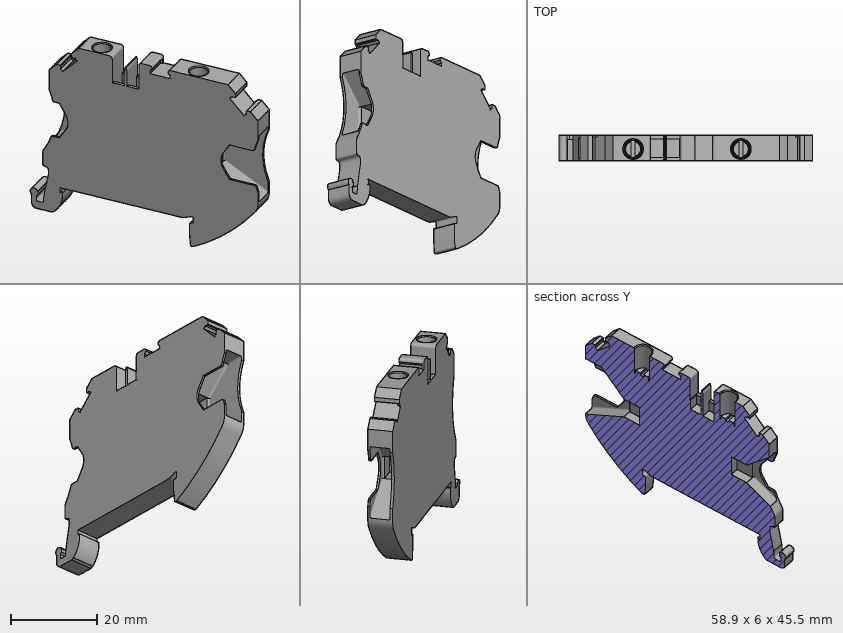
import cadquery as cq
import math

LENGTH = 58.85
THICKNESS = 6.0
HEIGHT = 45.5

BODY_LEFT = 4.88
MIRROR_X = (BODY_LEFT + LENGTH) / 2
SHOULDER_Z = 37.78
FLANK_END_Z = 32.55
WAIST_DEPTH = 1.42
WAIST_Z = 25.7
WAIST_RADIUS = 17.5

GROOVE_WIDTH = 4.08
GROOVE_FLOOR_WIDTH = 5.25
UNDERCUT_FACE = 0.75
UNDERCUT_TOP = 1.3
GROOVE_LIP_Z = 1.48
GROOVE_FLARE = 1.0
CORNER_GROOVE_FLOOR = (10.28, 40.12)
TOP_GROOVE_X = 33.57
TOP_GROOVE_FLOOR_Z = 43.35
GROOVE_WEB = 0.5
TOP_EDGE_RADIUS = 0.7

SLOT_LEFT = 21.22
SLOT_RIGHT = 28.08
SLOT_FLOOR_Z = 38.48
SLOT_LEFT_RADIUS = 0.85
SLOT_POCKET_FRONT = 0.77
SLOT_POCKET_REAR = 5.1
SLOT_POCKET_END_GAP = 0.15
SLOT_POCKET_DEPTH = 3.0
BLADE_THICKNESS = 0.7
BLADE_REAR = 5.65
BLADE_SHOULDER_Z = 42.5
BLADE_TIP_Z = 43.4
BLADE_TIP_WIDTH = 0.2

SCREW_XS = (17.22, 42.2)
SCREW_Y = 2.75
SCREW_MOUTH_DIAMETER = 4.8
SCREW_HOLE_DIAMETER = 4.3
SCREW_HEAD_DIAMETER = 4.0
SCREW_FACE_DIAMETER = 3.5
SCREW_HOLE_DEPTH = 8.0
SCREW_HEAD_HEIGHT = 1.0
SCREW_SLOT_WIDTH = 0.9
SCREW_SLOT_DEPTH = 0.6

FUNNEL_Y = (0.5, 5.35)
FUNNEL_END = 11.5
ENTRY_FLOOR_MOUTH = (4.4, 18.0)
ENTRY_CEILING_MOUTH = (4.88, 33.5)
DUCT_Y = (0.9, 4.75)
DUCT_Z = (21.6, 27.1)
DUCT_LENGTH = 4.5
ENTRY_EDGE_RADIUS = 0.45
WINDOW_Z = (20.3, 29.5)
WINDOW_END_ARC_HALF = 1.9
WINDOW_REAR = 3.0
WINDOW_SHOULDER = 2.25
WINDOW_ARC_RISE = 0.5
WINDOW_LIP = 0.65
WINDOW_END = 9.75
RIGHT_ENTRY_SHIFT = 4.73

RAIL_FACE_Z = 7.03
RAIL_RAMP_BEND = ((38.8, RAIL_FACE_Z), (39.4, 7.07), (39.9, 7.2))
JAW_X = 41.15
JAW_FACE_BOTTOM_Z = 3.1
JAW_LIP_RADIUS = 0.2
JAW_LIP_Z = 6.0
JAW_NOTCH_X = 42.1
JAW_NOTCH_Z = (6.25, 8.05)
JAW_NOTCH_RADII = (0.25, 0.3)
JAW_FOOT = (41.42, 0)
JAW_FOOT_RADIUS = 0.35
JAW_TOE = (42.2, 0)
JAW_BACK_MID = (50.4, 5.4)
HEEL = (57.9, 13.0)
HEEL_MID = (58.6, 14.2)
HOOK_STEP_X = 7.75
HOOK_STEP_Z = 5.78
HOOK_INNER_X = 8.33
HOOK_INNER_BOTTOM_Z = 4.5
HOOK_HEEL_MID = (7.65, 2.2)
HOOK_HEEL = (6.2, 0.3)
HOOK_FOOT = (5.6, 0)
HOOK_CORNER_RADIUS = 1.4
HOOK_LEFT = 0.33
HOOK_RADIUS = 1.0
HOOK_BEAD_Z = 4.25
HOOK_BEAD_EXIT_RISE = 0.35
LEG_LEFT = 3.24
LEG_STEP_X = 4.7
LEG_STEP_Z = 11.65
LEG_STEP_LEFT_Z = 11.85
LEG_STEP_RADIUS = 0.75
LEG_STEP_LEFT_RADIUS = 0.5
LEG_ARC_TOP_Z = 9.8
LEG_ARC_MID = (4.1, 6.9)
LEG_KNEE_Z = 15.7
LEG_KNEE_RADIUS = 1.65
KNEE_ARC_END_Z = 16.2
HEEL_ARC_END_Z = 19.2
HEEL_FLAT_Z = (15.7, 18.7)

THROAT_WEB = 1.05
THROAT_WEB_TOP_Z = 4.17
THROAT_WEB_X = (2.5, 3.6)
THROAT_FLOOR_Z = 1.98
THROAT_LEFT = 1.62
THROAT_RIGHT = 3.4
THROAT_LEFT_RADIUS = 0.4
THROAT_RIGHT_RADIUS = 0.5
THROAT_MOUTH_Z = 4.9
THROAT_MOUTH_X = (1.98, 3.62)
THROAT_UNDERCUT_Z = (3.2, 3.65)


def mirror_x(x):
    return 2 * MIRROR_X - x


def plate(profile, front=0.0, rear=THICKNESS):
    """Extrude a closed XZ profile from y = front to y = rear."""
    return profile.extrude(front - rear).translate((0, front, 0))


def box(x0, x1, y0, y1, z0, z1):
    return cq.Workplane("XY").box(x1 - x0, y1 - y0, z1 - z0, centered=False).translate((x0, y0, z0))


def round_corners(solid, corners):
    """Fillet the edges along Y that stand at the given (x, z, radius) corners."""
    for x, z, radius in corners:
        selector = cq.selectors.NearestToPointSelector((x, THICKNESS / 2, z))
        solid = solid.edges("|Y").edges(selector).fillet(radius)
    return solid


def waist_x(z):
    """X of the concave left flank at height z."""
    drop = z - WAIST_Z
    return BODY_LEFT + WAIST_DEPTH - WAIST_RADIUS + math.sqrt(WAIST_RADIUS**2 - drop**2)


def make_body():
    rise = HEIGHT - SHOULDER_Z
    notch_bottom, notch_top = JAW_NOTCH_Z
    notch_bottom_radius, notch_top_radius = JAW_NOTCH_RADII
    ramp_start, ramp_mid, ramp_end = RAIL_RAMP_BEND
    web_left, web_right = THROAT_WEB_X
    heel_flat_bottom, heel_flat_top = HEEL_FLAT_Z
    hook_drop = math.sqrt(HOOK_RADIUS**2 - (HOOK_RADIUS - HOOK_LEFT) ** 2)
    hook_reach = math.sqrt(HOOK_RADIUS**2 - HOOK_BEAD_EXIT_RISE**2)
    profile = (
        cq.Workplane("XZ")
        .moveTo(BODY_LEFT, SHOULDER_Z)
        .lineTo(BODY_LEFT + rise, HEIGHT)
        .lineTo(mirror_x(BODY_LEFT + rise), HEIGHT)
        .lineTo(LENGTH, SHOULDER_Z)
        .lineTo(LENGTH, FLANK_END_Z)
        .threePointArc(
            (mirror_x(waist_x(WAIST_Z)), WAIST_Z),
            (mirror_x(waist_x(HEEL_ARC_END_Z)), HEEL_ARC_END_Z),
        )
        .lineTo(LENGTH, heel_flat_top)
        .lineTo(LENGTH, heel_flat_bottom)
        .threePointArc(HEEL_MID, HEEL)
        .threePointArc(JAW_BACK_MID, JAW_TOE)
        .lineTo(*JAW_FOOT)
        .lineTo(JAW_X, JAW_FACE_BOTTOM_Z)
        .lineTo(JAW_X, JAW_LIP_Z)
        .lineTo(JAW_NOTCH_X, notch_bottom)
        .lineTo(JAW_NOTCH_X, notch_top)
        .lineTo(*ramp_end)
        .threePointArc(ramp_mid, ramp_start)
        .lineTo(HOOK_STEP_X, RAIL_FACE_Z)
        .lineTo(HOOK_STEP_X, HOOK_STEP_Z)
        .lineTo(HOOK_INNER_X, HOOK_STEP_Z)
        .lineTo(HOOK_INNER_X, HOOK_INNER_BOTTOM_Z)
        .threePointArc(HOOK_HEEL_MID, HOOK_HEEL)
        .lineTo(*HOOK_FOOT)
        .lineTo(HOOK_LEFT, 0)
        .lineTo(HOOK_LEFT, HOOK_BEAD_Z - hook_drop)
        .threePointArc(
            (HOOK_RADIUS, HOOK_BEAD_Z + HOOK_RADIUS),
            (HOOK_RADIUS + hook_reach, HOOK_BEAD_Z + HOOK_BEAD_EXIT_RISE),
        )
        .lineTo(web_left, THROAT_WEB_TOP_Z)
        .lineTo(web_right, THROAT_WEB_TOP_Z)
        .threePointArc(LEG_ARC_MID, (LEG_STEP_X, LEG_ARC_TOP_Z))
        .lineTo(LEG_STEP_X, LEG_STEP_Z)
        .lineTo(LEG_LEFT, LEG_STEP_LEFT_Z)
        .lineTo(LEG_LEFT, LEG_KNEE_Z)
        .lineTo(waist_x(KNEE_ARC_END_Z), KNEE_ARC_END_Z)
        .threePointArc((waist_x(WAIST_Z), WAIST_Z), (BODY_LEFT, FLANK_END_Z))
        .close()
    )
    return round_corners(
        plate(profile),
        [
            (HOOK_LEFT, 0, HOOK_CORNER_RADIUS),
            (LEG_LEFT, LEG_KNEE_Z, LEG_KNEE_RADIUS),
            (LEG_LEFT, LEG_STEP_LEFT_Z, LEG_STEP_LEFT_RADIUS),
            (LEG_STEP_X, LEG_STEP_Z, LEG_STEP_RADIUS),
            (JAW_X, JAW_LIP_Z, JAW_LIP_RADIUS),
            (JAW_NOTCH_X, notch_bottom, notch_bottom_radius),
            (JAW_NOTCH_X, notch_top, notch_top_radius),
            (*JAW_FOOT, JAW_FOOT_RADIUS),
        ],
    )


def groove_cutter(flare):
    """Label groove cutter: floor centre at the origin, opening along +Z, mouth flared at 45 degrees."""
    half = GROOVE_WIDTH / 2
    floor_half = GROOVE_FLOOR_WIDTH / 2
    notch = (
        cq.Workplane("XZ")
        .moveTo(-half, 0)
        .lineTo(-half, GROOVE_LIP_Z)
        .lineTo(-half - flare, GROOVE_LIP_Z + GROOVE_FLARE)
        .lineTo(half + flare, GROOVE_LIP_Z + GROOVE_FLARE)
        .lineTo(half, GROOVE_LIP_Z)
        .lineTo(half, 0)
        .close()
    )
    undercut = (
        cq.Workplane("XZ")
        .moveTo(-floor_half, 0)
        .lineTo(-floor_half, UNDERCUT_FACE)
        .lineTo(-half, UNDERCUT_TOP)
        .lineTo(half, UNDERCUT_TOP)
        .lineTo(floor_half, UNDERCUT_FACE)
        .lineTo(floor_half, 0)
        .close()
    )
    return plate(notch).union(plate(undercut, rear=THICKNESS - GROOVE_WEB))


def cut_label_grooves(solid):
    top_groove = groove_cutter(0).translate((TOP_GROOVE_X, 0, TOP_GROOVE_FLOOR_Z))
    floor_x, floor_z = CORNER_GROOVE_FLOOR
    corner_groove = groove_cutter(GROOVE_FLARE).rotate((0, 0, 0), (0, 1, 0), -45)
    left_groove = corner_groove.translate((floor_x, 0, floor_z))
    right_groove = left_groove.mirror("YZ", (MIRROR_X, 0, 0))
    solid = solid.cut(top_groove).cut(left_groove).cut(right_groove)
    mouth_corners = []
    for side in (-1, 1):
        mouth_corners.append((TOP_GROOVE_X + side * GROOVE_WIDTH / 2, HEIGHT, TOP_EDGE_RADIUS))
    return round_corners(solid, mouth_corners)


def make_blade():
    centre = (SLOT_LEFT + SLOT_RIGHT) / 2
    half = BLADE_THICKNESS / 2
    tip_half = BLADE_TIP_WIDTH / 2
    profile = (
        cq.Workplane("XZ")
        .moveTo(centre - half, SLOT_FLOOR_Z - SLOT_POCKET_DEPTH)
        .lineTo(centre - half, BLADE_SHOULDER_Z)
        .lineTo(centre - tip_half, BLADE_TIP_Z)
        .lineTo(centre + tip_half, BLADE_TIP_Z)
        .lineTo(centre + half, BLADE_SHOULDER_Z)
        .lineTo(centre + half, SLOT_FLOOR_Z - SLOT_POCKET_DEPTH)
        .close()
    )
    return plate(profile, rear=BLADE_REAR)


def cut_bridge_slot(solid):
    slot = box(SLOT_LEFT, SLOT_RIGHT, 0, THICKNESS, SLOT_FLOOR_Z, HEIGHT)
    pocket = box(
        SLOT_LEFT,
        SLOT_RIGHT - SLOT_POCKET_END_GAP,
        SLOT_POCKET_FRONT,
        SLOT_POCKET_REAR,
        SLOT_FLOOR_Z - SLOT_POCKET_DEPTH,
        SLOT_FLOOR_Z,
    )
    solid = solid.cut(slot)
    solid = round_corners(
        solid,
        [(SLOT_LEFT, HEIGHT, SLOT_LEFT_RADIUS), (SLOT_RIGHT, HEIGHT, TOP_EDGE_RADIUS)],
    )
    return solid.cut(pocket).union(make_blade())


def add_screw(solid, x):
    """Sink a screw hole with a countersunk mouth and leave a slotted screw head at its bottom."""
    head_top = HEIGHT - SCREW_HOLE_DEPTH + SCREW_HEAD_HEIGHT
    top = cq.Workplane("XY").center(x, SCREW_Y)
    mouth_chamfer = (SCREW_MOUTH_DIAMETER - SCREW_HOLE_DIAMETER) / 2
    head_chamfer = (SCREW_HEAD_DIAMETER - SCREW_FACE_DIAMETER) / 2
    hole = top.workplane(offset=HEIGHT).circle(SCREW_HOLE_DIAMETER / 2).extrude(-SCREW_HOLE_DEPTH)
    mouth = (
        top.workplane(offset=HEIGHT)
        .circle(SCREW_MOUTH_DIAMETER / 2)
        .extrude(-mouth_chamfer, taper=45)
    )
    head = (
        top.workplane(offset=head_top - SCREW_HEAD_HEIGHT)
        .circle(SCREW_HEAD_DIAMETER / 2)
        .extrude(SCREW_HEAD_HEIGHT)
        .faces(">Z")
        .chamfer(head_chamfer)
    )
    driver_slot = box(
        x - SCREW_SLOT_WIDTH / 2,
        x + SCREW_SLOT_WIDTH / 2,
        SCREW_Y - SCREW_HEAD_DIAMETER / 2,
        SCREW_Y + SCREW_HEAD_DIAMETER / 2,
        head_top - SCREW_SLOT_DEPTH,
        head_top,
    )
    return solid.cut(hole).cut(mouth).union(head.cut(driver_slot))


def make_funnel(shift):
    """Left wire entry moved inward by shift: a funnel with sloping floor and ceiling, then a narrow duct."""
    floor_slope = (DUCT_Z[0] - ENTRY_FLOOR_MOUTH[1]) / (FUNNEL_END - ENTRY_FLOOR_MOUTH[0])
    end_x = FUNNEL_END + shift
    ceiling_x = ENTRY_CEILING_MOUTH[0] + shift
    ceiling_z = ENTRY_CEILING_MOUTH[1]
    profile = (
        cq.Workplane("XZ")
        .moveTo(0, DUCT_Z[0] - floor_slope * end_x)
        .lineTo(0, ceiling_z)
        .lineTo(ceiling_x, ceiling_z)
        .lineTo(end_x, DUCT_Z[1])
        .lineTo(end_x, DUCT_Z[0])
        .close()
    )
    funnel = plate(profile, *FUNNEL_Y)
    funnel = funnel.faces("<Y or >Y").edges("not <X").fillet(ENTRY_EDGE_RADIUS)
    duct = box(end_x - DUCT_LENGTH, end_x + DUCT_LENGTH, *DUCT_Y, *DUCT_Z)
    return funnel.union(duct)


def make_window(end_x):
    """Opening through the front wall into the left wire entry, with a bulged inner end."""
    bottom, top = WINDOW_Z
    middle = (bottom + top) / 2
    shoulder = end_x - WINDOW_SHOULDER
    top_lip_x = waist_x(top + WINDOW_LIP)
    bottom_lip_x = waist_x(bottom - WINDOW_LIP)
    lip_mid = WINDOW_LIP * (1 - math.cos(math.radians(45)))
    profile = (
        cq.Workplane("XZ")
        .moveTo(top_lip_x, top + WINDOW_LIP)
        .threePointArc((top_lip_x + lip_mid, top + lip_mid), (top_lip_x + WINDOW_LIP, top))
        .lineTo(shoulder, top)
        .lineTo(end_x - WINDOW_ARC_RISE, middle + WINDOW_END_ARC_HALF)
        .threePointArc((end_x, middle), (end_x - WINDOW_ARC_RISE, middle - WINDOW_END_ARC_HALF))
        .lineTo(shoulder, bottom)
        .lineTo(bottom_lip_x + WINDOW_LIP, bottom)
        .threePointArc((bottom_lip_x + lip_mid, bottom - lip_mid), (bottom_lip_x, bottom - WINDOW_LIP))
        .lineTo(0, bottom - WINDOW_LIP)
        .lineTo(0, top + WINDOW_LIP)
        .close()
    )
    return plate(profile, rear=WINDOW_REAR)


def make_wire_entry(shift):
    return make_funnel(shift).union(make_window(WINDOW_END + shift))


def cut_wire_entries(solid):
    left_entry = make_wire_entry(0)
    right_entry = make_wire_entry(RIGHT_ENTRY_SHIFT).mirror("YZ", (MIRROR_X, 0, 0))
    return solid.cut(left_entry).cut(right_entry)


def cut_hook_throat(solid):
    """Hollow the throat of the hook from the front, leaving a web at the rear."""
    mouth_left, mouth_right = THROAT_MOUTH_X
    undercut_bottom, undercut_top = THROAT_UNDERCUT_Z
    profile = (
        cq.Workplane("XZ")
        .moveTo(mouth_left, THROAT_MOUTH_Z)
        .lineTo(mouth_left, undercut_top)
        .lineTo(THROAT_LEFT, undercut_bottom)
        .lineTo(THROAT_LEFT, THROAT_FLOOR_Z)
        .lineTo(THROAT_RIGHT, THROAT_FLOOR_Z)
        .lineTo(mouth_right, THROAT_MOUTH_Z)
        .close()
    )
    throat = round_corners(
        plate(profile, rear=THICKNESS - THROAT_WEB),
        [
            (THROAT_LEFT, THROAT_FLOOR_Z, THROAT_LEFT_RADIUS),
            (THROAT_RIGHT, THROAT_FLOOR_Z, THROAT_RIGHT_RADIUS),
        ],
    )
    return solid.cut(throat)


result = make_body()
result = cut_label_grooves(result)
result = cut_bridge_slot(result)
for screw_x in SCREW_XS:
    result = add_screw(result, screw_x)
result = cut_wire_entries(result)
result = cut_hook_throat(result)